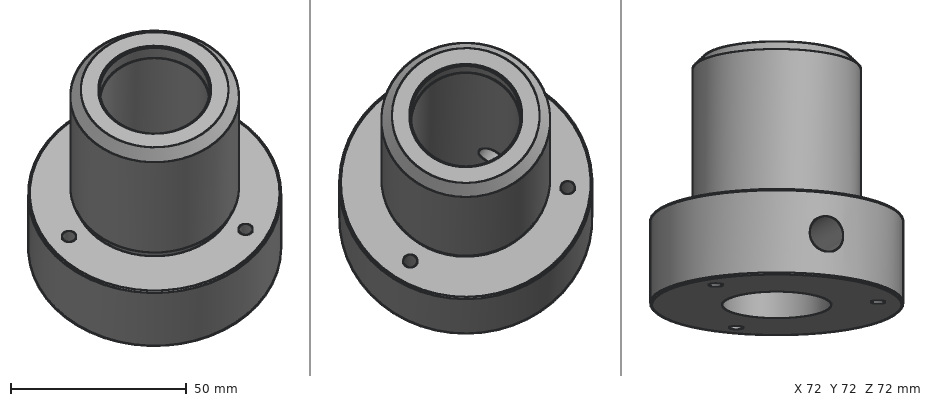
import cadquery as cq

total_height = 72.0
flange_diameter = 72.0
flange_height = 25.05
flange_chamfer = 0.5

sleeve_diameter = 48.0
sleeve_chamfer = 3.0
groove_diameter = 46.0
groove_width = 2.95

bore_diameter = 31.0
mouth_diameter = 31.25
mouth_depth = 5.0
mouth_chamfer = 0.4

hole_count = 3
hole_diameter = 4.0
hole_circle_radius = 29.0
first_hole_angle = 30.0

port_diameter = 10.4
port_height = flange_height / 2


def cylinder(diameter, bottom, top):
    """Upright cylinder on the Z axis between two heights."""
    return cq.Workplane("XY").workplane(offset=bottom).circle(diameter / 2).extrude(top - bottom)


groove_top = flange_height + groove_width

flange = cylinder(flange_diameter, 0, flange_height).edges().chamfer(flange_chamfer)
neck = cylinder(groove_diameter, 0, groove_top)
sleeve = cylinder(sleeve_diameter, groove_top, total_height).faces(">Z").edges().chamfer(sleeve_chamfer)

bore = cylinder(bore_diameter, 0, total_height)
mouth = cylinder(mouth_diameter, total_height - mouth_depth, total_height)

mouth_bevel = (
    cq.Workplane("XY")
    .workplane(offset=total_height)
    .circle(mouth_diameter / 2 + mouth_chamfer)
    .workplane(offset=-mouth_chamfer)
    .circle(mouth_diameter / 2)
    .loft(ruled=True)
)

bolt_holes = (
    cq.Workplane("XY")
    .polarArray(hole_circle_radius, first_hole_angle, 360, hole_count)
    .circle(hole_diameter / 2)
    .extrude(flange_height)
)

port = (
    cq.Workplane("XZ")
    .center(0, port_height)
    .circle(port_diameter / 2)
    .extrude(-flange_diameter / 2)
)

body = flange.union(neck).union(sleeve)
result = body.cut(bore).cut(mouth).cut(mouth_bevel).cut(bolt_holes).cut(port)